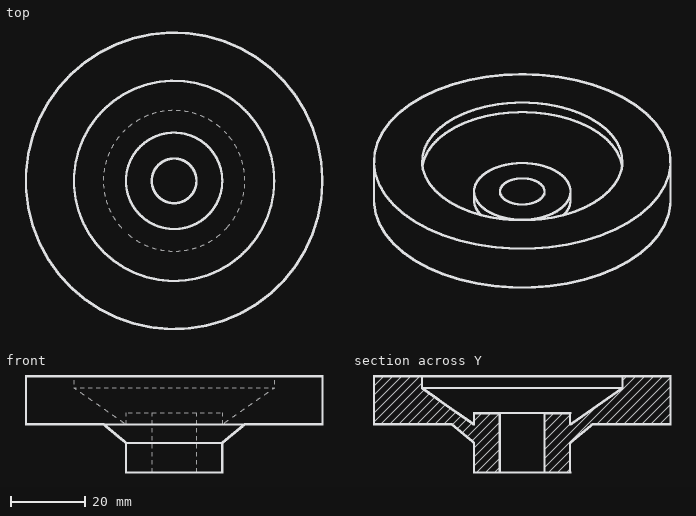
import cadquery as cq

rim_diameter = 80.0
recess_diameter = 54.0
hub_diameter = 26.0
bore_diameter = 12.0

total_height = 26.0
rim_height = total_height / 2
dish_depth = rim_height
hub_top_depth = 10.0
recess_wall_depth = 3.2
hub_step_height = 8.0
web_foot_diameter = 38.1

rim_radius = rim_diameter / 2
recess_radius = recess_diameter / 2
hub_radius = hub_diameter / 2
bore_radius = bore_diameter / 2
web_foot_radius = web_foot_diameter / 2
rim_bottom = total_height - rim_height

half_section = (
    cq.Workplane("XZ")
    .moveTo(bore_radius, 0)
    .lineTo(hub_radius, 0)
    .lineTo(hub_radius, hub_step_height)
    .lineTo(web_foot_radius, rim_bottom)
    .lineTo(rim_radius, rim_bottom)
    .lineTo(rim_radius, total_height)
    .lineTo(recess_radius, total_height)
    .lineTo(recess_radius, total_height - recess_wall_depth)
    .lineTo(hub_radius, total_height - dish_depth)
    .lineTo(hub_radius, total_height - hub_top_depth)
    .lineTo(bore_radius, total_height - hub_top_depth)
    .close()
)

result = half_section.revolve(360, (0, 0, 0), (0, 1, 0))